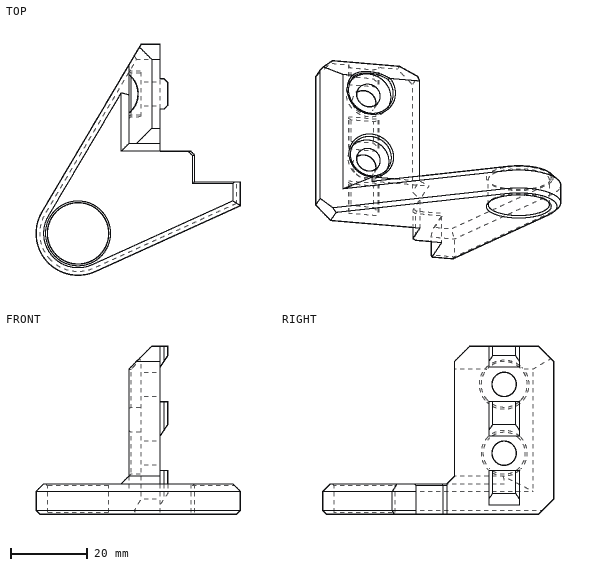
import cadquery as cq
import math

plate_height = 8.0
bore_diameter = 16.0
nose_radius = 11.0
rim_chamfer = 0.5
outer_top_chamfer = 2.0
outer_bottom_chamfer = 1.0

plate_right = 42.5
plate_tip_front = 7.22
plate_tip_back = 13.5
step_x = 30.5
step_corner_chamfer = 1.0

wall_height = 44.0
wall_thickness = 8.2
wall_right = 21.5
wall_left = wall_right - wall_thickness
wall_back = 49.5
wall_width = 26.0
wall_front = wall_back - wall_width
wall_corner_chamfer = 4.0
wall_roof_chamfer = 6.0
wall_back_edge_width = 5.0
foot_size = 2.0
foot_top = plate_height + foot_size
step_y = wall_front - foot_size

screw_y = 36.5
screw_pitch = 18.0
lower_screw_z = 16.0
upper_screw_z = lower_screw_z + screw_pitch
screw_diameter = 6.3
lower_counterbore = 11.0
upper_counterbore = 12.0
screw_seat_thickness = 5.0
counterbore_depth = wall_thickness - screw_seat_thickness

key_width = 8.0
key_depth = 2.0
key_corner_chamfer = 1.0
key_height = screw_pitch / 2
key_taper = 3.0
key_count = 3
lowest_key_z = lower_screw_z - screw_pitch / 2

margin = 20.0


def tangent_angle(x, y, side):
    """Direction from the origin to where a line through (x, y) touches the nose."""
    spread = math.acos(nose_radius / math.hypot(x, y))
    return math.atan2(y, x) + side * spread


def on_nose(angle):
    """Point on the rounded nose in the given direction from the bore axis."""
    return (nose_radius * math.cos(angle), nose_radius * math.sin(angle))


left_angle = tangent_angle(wall_right - wall_back_edge_width, wall_back, 1)
front_angle = tangent_angle(plate_right, plate_tip_front, -1)
nose_middle_angle = (left_angle + front_angle + 2 * math.pi) / 2


def slanted_side_x(y):
    """X of the left slanted side at a given Y."""
    return (nose_radius - y * math.sin(left_angle)) / math.cos(left_angle)


def envelope_sketch(z):
    """Convex outline: nose, its two tangent sides, and the right end, open far past the back."""
    far_y = wall_back + margin
    return (
        cq.Workplane("XY", origin=(0, 0, z))
        .moveTo(*on_nose(front_angle))
        .lineTo(plate_right, plate_tip_front)
        .lineTo(plate_right, far_y)
        .lineTo(slanted_side_x(far_y), far_y)
        .lineTo(*on_nose(left_angle))
        .threePointArc(on_nose(nose_middle_angle), on_nose(front_angle))
        .close()
    )


def base_envelope():
    """Outline with 45 degree edges above and below; the upper slope runs on up to the foot."""
    slope_start = plate_height - outer_top_chamfer
    straight = slope_start - outer_bottom_chamfer
    middle = envelope_sketch(outer_bottom_chamfer).extrude(straight)
    upper = envelope_sketch(slope_start).extrude(foot_top - slope_start, taper=45)
    lower = envelope_sketch(outer_bottom_chamfer).extrude(-outer_bottom_chamfer, taper=45)
    return middle.union(upper).union(lower)


def plate():
    """Slab with the stepped right side; its nose and slanted sides are left for the envelope."""
    left = -nose_radius - margin
    front = -nose_radius - margin
    body = (
        cq.Workplane("XY")
        .polyline([
            (left, front),
            (plate_right, front),
            (plate_right, plate_tip_back),
            (step_x, plate_tip_back),
            (step_x, step_y),
            (wall_right, step_y),
            (wall_right, wall_back),
            (left, wall_back),
        ])
        .close()
        .extrude(plate_height)
    )
    body = body.edges(cq.NearestToPointSelector((step_x, step_y, plate_height / 2)))
    body = body.chamfer(step_corner_chamfer)
    step_left = step_x - step_corner_chamfer
    stepped_edges = cq.selectors.BoxSelector(
        (step_left - rim_chamfer, plate_tip_back - rim_chamfer, plate_height - rim_chamfer),
        (plate_right + rim_chamfer, step_y + rim_chamfer, plate_height + rim_chamfer),
        boundingbox=True,
    )
    return body.edges(stepped_edges).chamfer(rim_chamfer)


def foot():
    """Block whose left and front top edges slope out from the wall."""
    start = plate_height / 2
    block = (
        cq.Workplane("XY", origin=(wall_left - foot_size, step_y, start))
        .box(wall_thickness + foot_size, wall_back - step_y, foot_top - start, centered=False)
    )
    return block.faces(">Z").edges("<X or <Y").chamfer(foot_size)


def bore_cutter():
    """Through bore with a chamfered rim at each end."""
    radius = bore_diameter / 2
    end_radius = radius + rim_chamfer
    return (
        cq.Workplane("XZ")
        .polyline([
            (0, 0),
            (end_radius, 0),
            (radius, rim_chamfer),
            (radius, plate_height - rim_chamfer),
            (end_radius, plate_height),
            (0, plate_height),
        ])
        .close()
        .revolve(360, (0, 0, 0), (0, 1, 0))
    )


def cut_screw(body, z, counterbore):
    """Through hole with a counterbore on the left face; its rim is chamfered."""
    face = cq.Workplane("YZ", origin=(wall_left, screw_y, z))
    body = body.cut(face.circle(screw_diameter / 2).extrude(wall_thickness))
    body = body.cut(face.circle(counterbore / 2).extrude(counterbore_depth))
    reach = counterbore / 2 + rim_chamfer / 2
    rim = cq.selectors.BoxSelector(
        (wall_left - rim_chamfer, screw_y - reach, z - reach),
        (wall_left + counterbore_depth - rim_chamfer, screw_y + reach, z + reach),
        boundingbox=True,
    )
    return body.edges(rim).chamfer(rim_chamfer)


def wall():
    """Bevelled upright wall, trimmed by the slanted side and bored for both screws."""
    bottom = plate_height / 2
    side = (
        cq.Workplane("YZ", origin=(wall_left, 0, 0))
        .polyline([
            (wall_front, bottom),
            (wall_back, bottom),
            (wall_back, wall_height - wall_corner_chamfer),
            (wall_back - wall_corner_chamfer, wall_height),
            (wall_front + wall_corner_chamfer, wall_height),
            (wall_front, wall_height - wall_corner_chamfer),
        ])
        .close()
        .extrude(wall_thickness)
    )
    roof = (
        cq.Workplane("XZ")
        .polyline([
            (wall_left, bottom),
            (wall_right, bottom),
            (wall_right, wall_height),
            (wall_left + wall_roof_chamfer, wall_height),
            (wall_left, wall_height - wall_roof_chamfer),
        ])
        .close()
        .extrude(-wall_back)
    )
    body = side.intersect(roof).intersect(envelope_sketch(bottom).extrude(wall_height))
    body = cut_screw(body, lower_screw_z, lower_counterbore)
    return cut_screw(body, upper_screw_z, upper_counterbore)


def key(center_z):
    """Key with bevelled upright edges and a sloping underside, cut level with the wall top."""
    bottom = center_z - key_height / 2
    top = min(center_z + key_height / 2, wall_height)
    key_right = wall_right + key_depth
    profile = (
        cq.Workplane("XZ", origin=(0, screw_y + key_width / 2, 0))
        .polyline([
            (wall_right, bottom),
            (key_right, bottom + key_taper),
            (key_right, top),
            (wall_right, top),
        ])
        .close()
        .extrude(key_width)
    )
    plan = (
        cq.Workplane("XY", origin=(wall_right, screw_y - key_width / 2, bottom))
        .box(key_depth, key_width, key_height, centered=False)
        .edges("|Z and >X")
        .chamfer(key_corner_chamfer)
    )
    return profile.intersect(plan)


def back_corner_cutter():
    """Prism that bevels the lower back edge of the part."""
    return (
        cq.Workplane("YZ", origin=(-margin, 0, 0))
        .polyline([
            (wall_back - wall_corner_chamfer, 0),
            (wall_back, 0),
            (wall_back, wall_corner_chamfer),
        ])
        .close()
        .extrude(wall_right + 2 * margin)
    )


base = plate().union(foot()).intersect(base_envelope()).cut(bore_cutter())
part = base.union(wall()).cut(back_corner_cutter())
for index in range(key_count):
    part = part.union(key(lowest_key_z + index * screw_pitch))
result = part.solids()